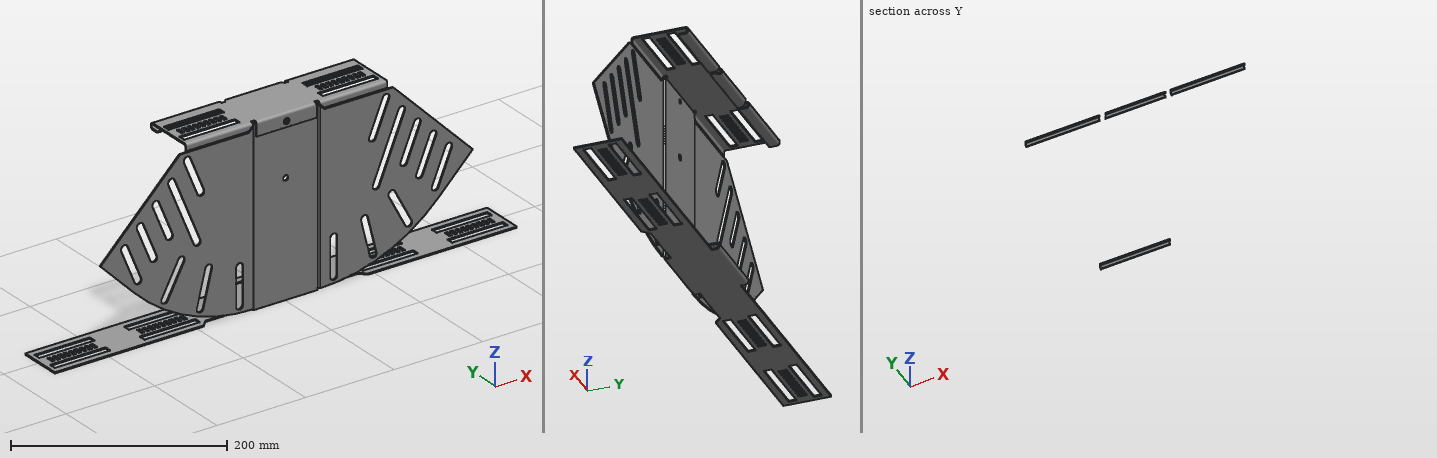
import cadquery as cq
import math


long_rail_length = 522.0
total_depth = 57.0
total_height = 195.0
thickness = 1.5

hook_radius = 3.5
lip_end_y = 46.5

recess_outer = 38.0
recess_inner = 36.0
panel_top = 192.5
panel_bend_radius = thickness

fan_tip_x = 210.5
fan_tip_z = 96.5
fan_top = 186.5
fan_bottom = 2.5
fan_top_inner = 43.0

short_rail_length = 227.5
short_bend_radius = 2.5
skirt_bottom = 188.0
skirt_chamfer = 4.5
tab_half_width = 34.0
tab_bottom = 180.0
slit_outer = 37.5
slit_depth = 4.0
notch_start_y = 51.0
notch_flare = 4.5

long_rail_back = 49.0
relief_start_x = 93.0
relief_depth = 7.0
rail_middle_y = (thickness + long_rail_back) / 2
rail_slot_length = 62.5
rail_slot_width = 8.0
rail_slot_offset = 12.5
tooth_count = 9
tooth_row_length = 51.0
tooth_width = tooth_row_length / (2 * tooth_count - 1)
tooth_pitch = 2 * tooth_width
tooth_length = 8.0
long_rail_groups = (123.0, 224.5)
short_rail_groups = (78.5,)

fan_slot_width = 8.0
fan_slot_length = 48.0
row_slot_lengths = (48.0, 48.0, 48.0, 83.5, 48.0)
row_slot_angle = 22.5
row_start_x = 185.0
row_start_z = 110.5
row_step = 18.0
fan_slot_places = ((53.0, 31.0), (93.0, 40.0), (128.5, 59.0))
fan_slot_turn = 14.0

tab_hole_z = 186.5
tab_hole_diameter = 6.5
pilot_hole_diameter = 4.0
panel_hole_z = 127.0
panel_hole_diameter = 6.0


def box(x_range, y_range, z_range):
    """Box between the given limits along each axis."""
    spans = [limits[1] - limits[0] for limits in (x_range, y_range, z_range)]
    corner = (x_range[0], y_range[0], z_range[0])
    return cq.Workplane("XY").box(*spans, centered=False).translate(corner)


def hooked_sheet(length, wall_front, wall_height, bend_radius):
    """Bent sheet along X: a wall rising from z = 0, a flange to the back and a hooked lip."""
    hook_y = total_depth - hook_radius
    inner_hook = hook_radius - thickness
    inner_bend = bend_radius - thickness
    wall_back = wall_front + thickness
    bend_y = wall_front + bend_radius
    arc_near = 1 - math.sqrt(0.5)
    profile = (
        cq.Workplane("YZ")
        .moveTo(wall_front, wall_height)
        .lineTo(wall_front, bend_radius)
        .threePointArc((wall_front + bend_radius * arc_near, bend_radius * arc_near), (bend_y, 0))
        .lineTo(hook_y, 0)
        .threePointArc((total_depth, hook_radius), (hook_y, 2 * hook_radius))
        .lineTo(lip_end_y, 2 * hook_radius)
        .lineTo(lip_end_y, 2 * hook_radius - thickness)
        .lineTo(hook_y, 2 * hook_radius - thickness)
        .threePointArc((hook_y + inner_hook, hook_radius), (hook_y, thickness))
        .lineTo(bend_y, thickness)
    )
    if inner_bend > 0:
        near = inner_bend * arc_near
        profile = profile.threePointArc((wall_back + near, thickness + near), (wall_back, bend_radius))
    return profile.lineTo(wall_back, wall_height).close().extrude(length / 2, both=True)


def rail_perforation(group_places, z_base):
    """Two slots with a row of narrow teeth openings between them, at each group on both sides."""
    centers = [side * place for place in group_places for side in (-1, 1)]
    slot_points = [
        (x, rail_middle_y + side * rail_slot_offset) for x in centers for side in (-1, 1)
    ]
    tooth_points = [
        (x + (i - (tooth_count - 1) / 2) * tooth_pitch, rail_middle_y)
        for x in centers
        for i in range(tooth_count)
    ]
    plane = cq.Workplane("XY").workplane(offset=z_base)
    slots = plane.pushPoints(slot_points).rect(rail_slot_length, rail_slot_width).extrude(thickness)
    teeth = plane.pushPoints(tooth_points).rect(tooth_width, tooth_length).extrude(thickness)
    return slots.add(teeth).combine()


def cross_hole(diameter, z):
    """Round cutter along Y on the middle plane, through both sheet layers."""
    return cq.Workplane("XZ").center(0, z).circle(diameter / 2).extrude(-2 * thickness)


def fan_wing():
    """Left wing: straight 45 degree edges and a large arc that runs out along the bottom."""
    bottom_corner_x = -fan_tip_x + (fan_tip_z - fan_bottom)
    tangent_length = -recess_outer - bottom_corner_x
    arc_radius = tangent_length / math.tan(math.radians(22.5))
    arc_start = (
        bottom_corner_x - tangent_length * math.sqrt(0.5),
        fan_bottom + tangent_length * math.sqrt(0.5),
    )
    arc_middle = (
        -recess_outer - arc_radius * math.sin(math.radians(22.5)),
        fan_bottom + arc_radius * (1 - math.cos(math.radians(22.5))),
    )
    return (
        cq.Workplane("XZ")
        .moveTo(-recess_outer, fan_bottom)
        .threePointArc(arc_middle, arc_start)
        .lineTo(-fan_tip_x, fan_tip_z)
        .lineTo(-fan_tip_x + (fan_top - fan_tip_z), fan_top)
        .lineTo(-fan_top_inner, fan_top)
        .lineTo(-recess_outer, fan_top + fan_top_inner - recess_outer)
        .close()
        .extrude(-thickness)
    )


def fan_slot(x, z, length, angle):
    """Slot cutter through the left wing; the angle leans it from vertical toward +X."""
    return (
        cq.Workplane("XZ")
        .center(x, z)
        .slot2D(length, fan_slot_width, 90 - angle)
        .extrude(-thickness)
    )


def slotted_wing():
    wing = fan_wing()
    for i, length in enumerate(row_slot_lengths):
        lean = math.radians(row_slot_angle)
        x = -row_start_x + i * row_step + length / 2 * math.sin(lean)
        z = row_start_z + i * row_step - length / 2 * math.cos(lean)
        wing = wing.cut(fan_slot(x, z, length, -row_slot_angle))
    for i, (x, z) in enumerate(fan_slot_places):
        wing = wing.cut(fan_slot(-x, z, fan_slot_length, i * fan_slot_turn))
    return wing


def recess_step():
    """Sloping strip that joins the left wing to the recessed panel."""
    return (
        cq.Workplane("XY")
        .workplane(offset=fan_bottom)
        .polyline([
            (-recess_outer, 0),
            (-recess_inner, thickness),
            (-recess_inner, 2 * thickness),
            (-recess_outer, thickness),
        ])
        .close()
        .extrude(fan_top + fan_top_inner - recess_outer - fan_bottom)
    )


def make_fan_plate():
    plate = hooked_sheet(2 * recess_inner, thickness, panel_top, panel_bend_radius)
    for side in (recess_step(), slotted_wing()):
        plate = plate.union(side).union(side.mirror("YZ"))
    for side in (-1, 1):
        ends = sorted((side * recess_inner, side * long_rail_length / 2))
        plate = plate.union(box(ends, (thickness, long_rail_back), (0, thickness)))
    plate = plate.cut(edge_relief()).cut(edge_relief().mirror("YZ"))
    plate = plate.cut(rail_perforation(long_rail_groups, 0))
    plate = plate.cut(cross_hole(pilot_hole_diameter, tab_hole_z))
    return plate.cut(cross_hole(panel_hole_diameter, panel_hole_z))


def edge_relief():
    """Cutter that sets back the front edge of the long rail left of the panel, with a 45 degree end."""
    return (
        cq.Workplane("XY")
        .polyline([
            (-relief_start_x, thickness),
            (-relief_start_x + relief_depth, thickness + relief_depth),
            (-recess_inner, thickness + relief_depth),
            (-recess_inner, thickness),
        ])
        .close()
        .extrude(thickness)
    )


def skirt_trim():
    """Cutter that leaves a skirt with a chamfered inner end on the left side of the tab."""
    chamfer_top = skirt_bottom + skirt_chamfer
    return (
        cq.Workplane("XZ")
        .polyline([
            (-short_rail_length / 2, tab_bottom),
            (-tab_half_width, tab_bottom),
            (-tab_half_width, chamfer_top),
            (-slit_outer, chamfer_top),
            (-slit_outer - skirt_chamfer, skirt_bottom),
            (-short_rail_length / 2, skirt_bottom),
        ])
        .close()
        .extrude(-thickness)
    )


def hook_notch():
    """Flared cutter that parts the hook of the left half, through the edge and the whole lip."""
    hook_bottom = total_height - 2 * hook_radius
    flared = (
        cq.Workplane("XY")
        .workplane(offset=hook_bottom)
        .polyline([
            (-slit_outer, notch_start_y),
            (-tab_half_width, notch_start_y),
            (-tab_half_width + notch_flare, total_depth),
            (-slit_outer, total_depth),
        ])
        .close()
        .extrude(2 * hook_radius)
    )
    lip = box(
        (-slit_outer, -tab_half_width),
        (lip_end_y, notch_start_y),
        (hook_bottom, hook_bottom + thickness),
    )
    return flared.union(lip)


def make_short_rail():
    sheet = hooked_sheet(short_rail_length, 0, total_height - tab_bottom, short_bend_radius)
    rail = sheet.mirror("XY").translate((0, 0, total_height))
    slit = box((-slit_outer, -tab_half_width), (0, slit_depth), (tab_bottom, total_height))
    for cutter in (skirt_trim(), slit, hook_notch()):
        rail = rail.cut(cutter).cut(cutter.mirror("YZ"))
    rail = rail.cut(rail_perforation(short_rail_groups, total_height - thickness))
    return rail.cut(cross_hole(tab_hole_diameter, tab_hole_z))


fan_plate = make_fan_plate()
short_rail = make_short_rail()

result = cq.Compound.makeCompound([fan_plate.solids().val(), short_rail.solids().val()])